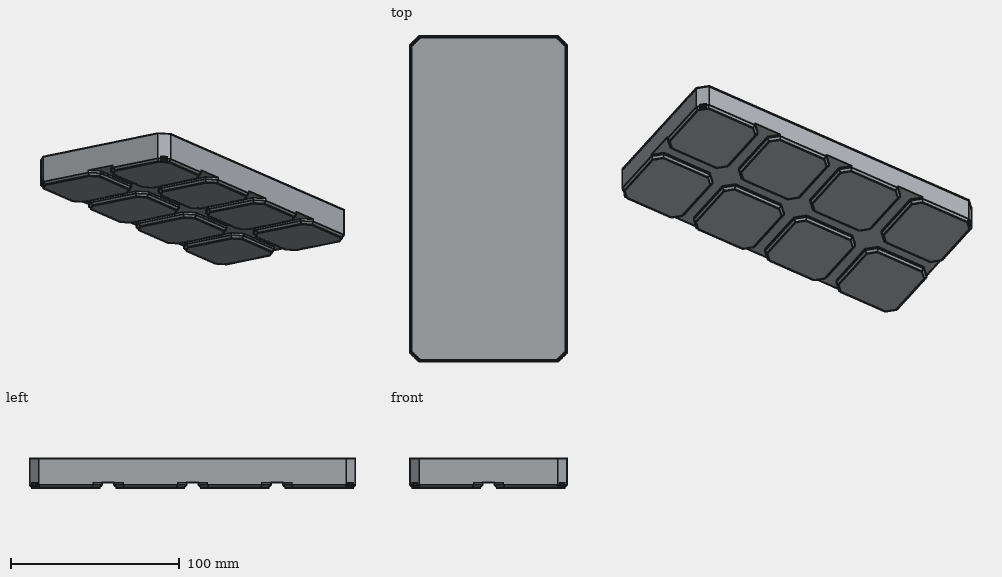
import math

import cadquery as cq

width_x = 93.0
length_y = 193.0
height = 17.5
corner_cut = 5.5

columns = 2
rows = 4
pitch = 50.0
foot_height = 3.3
foot_slope = 1.4
foot_tip_height = 0.5
foot_x = width_x - (columns - 1) * pitch
foot_y = length_y - (rows - 1) * pitch

rim_width = 0.5
rim_bevel = 0.5
recess_depth = 2.1

slot_floor_z = 1.4
slot_mouth_width = 3.9
slot_mouth_depth = 0.5
slot_inner_width = 2.7
slot_inner_depth = 2.9
slot_inner_top_z = 2.7


def octagon_block(inset, base_z, block_height, size_x=width_x, size_y=length_y):
    """Upright block with 45 degree corners, every side face moved inward by inset."""
    cut = corner_cut - inset * (2 - math.sqrt(2))
    block = (
        cq.Workplane("XY")
        .workplane(offset=base_z)
        .rect(size_x - 2 * inset, size_y - 2 * inset)
        .extrude(block_height)
    )
    return block.edges("|Z").chamfer(cut)


def make_foot():
    """Straight upper wall, 45 degree slope inward, then a short straight tip."""
    upper = octagon_block(0, foot_tip_height, foot_height - foot_tip_height, foot_x, foot_y)
    upper = upper.faces("<Z").chamfer(foot_slope)
    tip = octagon_block(foot_slope, 0, foot_tip_height, foot_x, foot_y)
    return upper.union(tip)


def make_recess():
    """Straight-walled hollow that flares outward at 45 degrees to the rim."""
    well_height = recess_depth - rim_bevel
    well = octagon_block(rim_width + rim_bevel, height - recess_depth, well_height)
    return well.faces(">Z").wires().toPending().extrude(rim_bevel, taper=-45)


def slot_box(width, depth, top_z):
    """Box on the slot floor, reaching inward from X = 0 along +X and the same distance outward."""
    return (
        cq.Workplane("XY")
        .workplane(offset=slot_floor_z)
        .rect(2 * depth, width)
        .extrude(top_z - slot_floor_z)
    )


def make_corner_slot(sign_x, sign_y):
    """Stepped slot placed at the middle of a corner face and square to it."""
    mouth = slot_box(slot_mouth_width, slot_mouth_depth, foot_height)
    inner = slot_box(slot_inner_width, slot_inner_depth, slot_inner_top_z)
    slot = mouth.union(inner).rotate((0, 0, 0), (0, 0, 1), 45 * sign_x * sign_y)
    x = sign_x * (width_x - corner_cut) / 2
    y = sign_y * (length_y - corner_cut) / 2
    return slot.translate((x, y, 0))


body = octagon_block(0, foot_height, height - foot_height)

foot = make_foot()
for column in range(columns):
    for row in range(rows):
        foot_center_x = (column - (columns - 1) / 2) * pitch
        foot_center_y = (row - (rows - 1) / 2) * pitch
        body = body.union(foot.translate((foot_center_x, foot_center_y, 0)))

body = body.cut(make_recess())

for sign_x in (-1, 1):
    for sign_y in (-1, 1):
        body = body.cut(make_corner_slot(sign_x, sign_y))

result = body